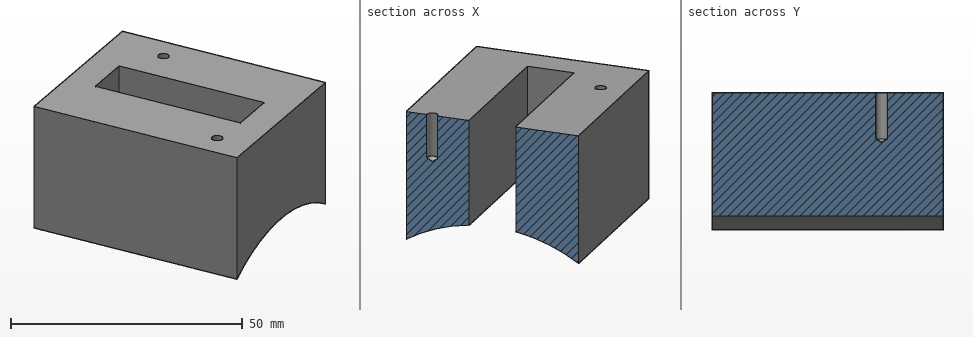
import cadquery as cq
import math

length = 50.0
width = 40.0

saddle_radius = 38.0
saddle_rise = saddle_radius - math.sqrt(saddle_radius ** 2 - (width / 2) ** 2)
saddle_axis_z = saddle_rise - saddle_radius

crown_thickness = 24.0
height = crown_thickness + saddle_rise

window_length = 35.7
window_width = 10.8

hole_diameter = 2.45
hole_depth = 10.0
drill_point_angle = 118.0
hole_offset_y = 14.0
hole_centers = [(-11.65, hole_offset_y), (16.85, -hole_offset_y)]


def make_block():
    """Block centred on the Z axis with its lower edges at Z = 0."""
    return cq.Workplane("XY").box(length, width, height, centered=(True, True, False))


def make_saddle():
    """Cylinder along X that hollows the underside from edge to edge."""
    return (
        cq.Workplane("YZ")
        .center(0, saddle_axis_z)
        .circle(saddle_radius)
        .extrude(length, both=True)
    )


def make_window():
    """Prism passing through the full height of the block."""
    return cq.Workplane("XY").rect(window_length, window_width).extrude(height)


def make_screw_hole(x, y):
    """Drilled hole at (x, y): straight wall down to a conical point."""
    radius = hole_diameter / 2
    point_depth = radius / math.tan(math.radians(drill_point_angle / 2))
    return (
        cq.Workplane("XZ")
        .lineTo(radius, 0)
        .lineTo(radius, -hole_depth)
        .lineTo(0, -hole_depth - point_depth)
        .close()
        .revolve(360, (0, 0), (0, 1))
        .translate((x, y, height))
    )


result = make_block().cut(make_saddle()).cut(make_window())
for hole_x, hole_y in hole_centers:
    result = result.cut(make_screw_hole(hole_x, hole_y))